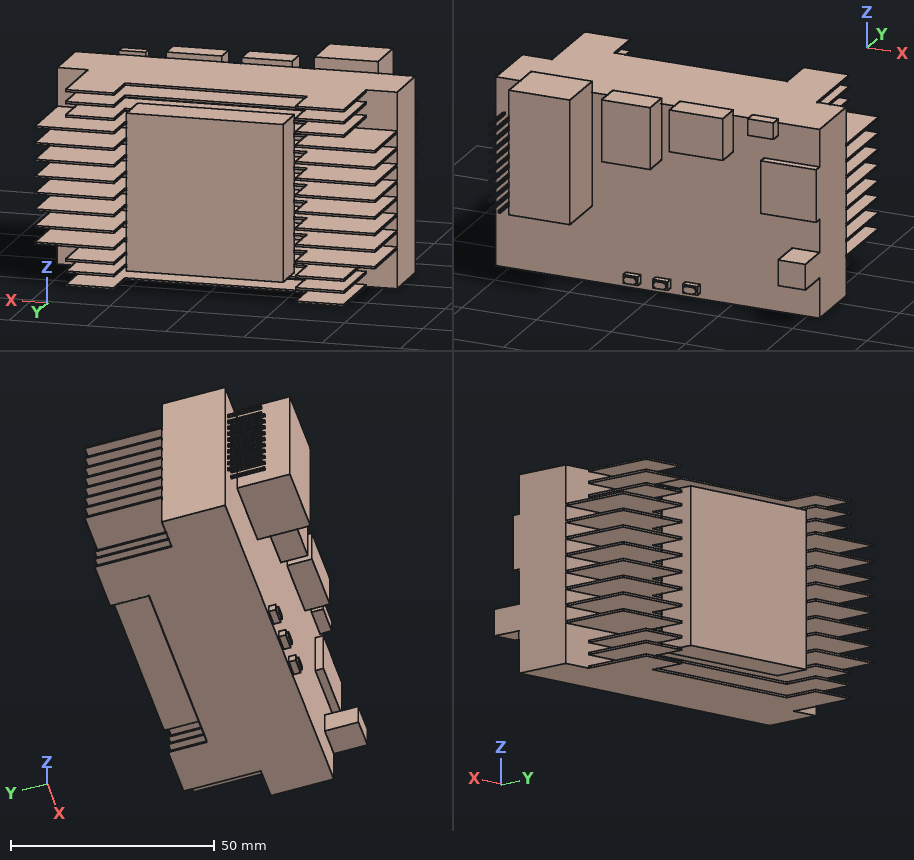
import cadquery as cq

body_width = 87.0
body_height = 50.0
body_depth = 16.35

fin_length = 20.0
fin_thickness = 0.5
fin_corner_inset = 7.9
fan_pocket_width = 46.5
fan_pocket_depth = 10.1
short_fins_bottom = [0.0, 3.4, 6.4]
long_fin_first = 10.2
long_fin_last = 39.7
long_fin_count = 8
long_fin_pitch = (long_fin_last - long_fin_first) / (long_fin_count - 1)
short_fins_top = [43.1, 46.5, body_height - fin_thickness]

fan_size = 40.1
fan_bottom = 5.05

network_port = (9.6, 20.0, 16.35, 33.0, 13.7)
double_port = (31.5, 35.15, 13.05, 16.35, 7.0)
display_port = (49.5, 40.45, 14.35, 11.05, 6.4)
small_port = (69.0, 46.7, 7.0, 4.35, 3.05)
card_slot = (72.1, 26.2, 14.9, 13.9, 2.1)
power_jack = (79.7, 10.7, 7.3, 6.8, 8.7)

pin_columns = 2
pin_rows = 10
pin_row_span = 22.5
pin_pitch = pin_row_span / (pin_rows - 1)
pin_size = 0.5
pin_length = 8.7
first_pin_x = 2.3
first_pin_z = 18.2

button_count = 3
button_pitch = 8.0
first_button_x = 37.0
button_z = 2.8
button_width = 4.0
button_height = 2.3
button_base_depth = 1.7
button_cap_depth = 0.5
cap_width = 3.5
cap_height = 1.8


def block(x, y, z, width, depth, height):
    """Box given by its lowest corner and its sizes along X, Y and Z."""
    return cq.Workplane("XY").box(width, depth, height, centered=False).translate((x, y, z))


def front_block(left, bottom, width, height, depth):
    """Box standing out of the front face."""
    return block(left, -depth, bottom, width, depth, height)


def cooling_fins():
    """Fins behind the body, with one pocket through all of them for the fan."""
    fins = cq.Workplane("XY")
    short_width = body_width - 2 * fin_corner_inset
    for z in short_fins_bottom + short_fins_top:
        fins = fins.add(block(fin_corner_inset, body_depth, z, short_width, fin_length, fin_thickness))
    for i in range(long_fin_count):
        z = long_fin_first + i * long_fin_pitch
        fins = fins.add(block(0, body_depth, z, body_width, fin_length, fin_thickness))
    pocket = block(
        (body_width - fan_pocket_width) / 2,
        body_depth + fin_length - fan_pocket_depth,
        0,
        fan_pocket_width,
        fan_pocket_depth,
        body_height,
    )
    return fins.combine().cut(pocket)


def fan():
    """Square fan block filling the depth of the pocket."""
    return block(
        (body_width - fan_size) / 2,
        body_depth + fin_length - fan_pocket_depth,
        fan_bottom,
        fan_size,
        fan_pocket_depth,
        fan_size,
    )


def pin_header():
    """Grid of square pins standing out of the front face."""
    column_span = (pin_columns - 1) * pin_pitch
    center = (first_pin_x + column_span / 2, 0, first_pin_z + pin_row_span / 2)
    return (
        cq.Workplane("XZ", origin=center)
        .rarray(pin_pitch, pin_pitch, pin_columns, pin_rows)
        .rect(pin_size, pin_size)
        .extrude(pin_length)
    )


def push_button(x):
    """Rectangular base with an oval cap on its front."""
    base = front_block(
        x - button_width / 2, button_z - button_height / 2, button_width, button_height, button_base_depth
    )
    cap = (
        cq.Workplane("XZ", origin=(x, -button_base_depth, button_z))
        .slot2D(cap_width, cap_height)
        .extrude(button_cap_depth)
    )
    return base.union(cap)


result = block(0, 0, 0, body_width, body_depth, body_height)
result = result.union(cooling_fins()).union(fan()).union(pin_header())
for connector in (network_port, double_port, display_port, small_port, card_slot, power_jack):
    result = result.union(front_block(*connector))
for i in range(button_count):
    result = result.union(push_button(first_button_x + i * button_pitch))